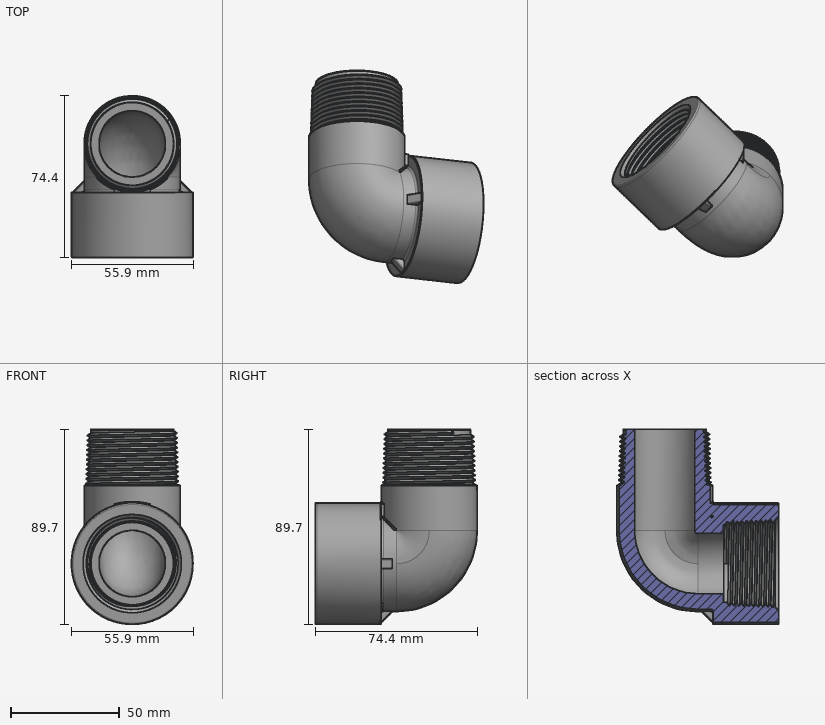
import cadquery as cq
import math


pipe_radius = 44.2 / 2
bore_radius = 30.48 / 2
bend_radius = 15.2
crotch_fill = 0.25
crotch_half_width = 0.75
collar_fillet = 1.0

male_reach = 61.72
female_reach = 52.32

thread_pitch = 25.4 / 11.5
thread_depth = 1.45
thread_base_share = 0.96
thread_overlap = 0.3
taper = 1 / 32
taper_angle = math.degrees(math.atan(taper))

male_base_z = 35.7
male_base_crest_radius = 21.3
male_root_radius = male_base_crest_radius - thread_depth
male_tip_radius = 19.0
male_tip_length = 0.4
shoulder_height = 0.5
male_thread_start_z = 35.6
male_thread_end_z = 60.1

socket_radius = 55.88 / 2
socket_back = pipe_radius
socket_edge_round = 0.7
socket_back_round = 0.4
mouth_radius = 22.6
mouth_chamfer_radius = 21.1
mouth_chamfer_length = 1.5
female_floor = 27.0
female_crest_radius = 18.9

rib_width = 4.6
rib_length = 5.1
rib_height = 5.1
rib_edge_round = 0.5
pad_radius = 28.5
pad_half_width = 8.3
pad_bottom_z = 21.8
pad_thickness = 1.6


def elbow(radius, top_z, front_reach):
    """Round rod, of the given radius, that follows both leg axes and the bend."""
    upright = cq.Workplane("XY").workplane(offset=bend_radius).circle(radius).extrude(top_z - bend_radius)
    level = cq.Workplane("XZ").workplane(offset=bend_radius).circle(radius).extrude(front_reach - bend_radius)
    outer_side = (
        cq.Sketch()
        .circle(radius)
        .push([(0, -bend_radius - radius)])
        .rect(4 * radius, 2 * radius, mode="s")
    )
    bend = cq.Workplane("XY").workplane(offset=bend_radius).placeSketch(outer_side)
    bend = bend.revolve(90, (0, -bend_radius, 0), (-1, -bend_radius, 0))
    return upright.union(level).union(bend)


def thread_ridge(base_radius, height, cone_angle):
    """V-shaped right-hand ridge that winds up +Z on a cone of the given base radius."""
    helix = cq.Wire.makeHelix(thread_pitch, height, base_radius, angle=cone_angle)
    half_base = thread_base_share * thread_pitch / 2
    buried_radius = base_radius - thread_overlap
    profile = (
        cq.Workplane("XZ")
        .moveTo(buried_radius, -half_base)
        .lineTo(base_radius, -half_base)
        .lineTo(base_radius + thread_depth, 0)
        .lineTo(base_radius, half_base)
        .lineTo(buried_radius, half_base)
        .close()
    )
    return profile.sweep(cq.Workplane(helix), isFrenet=True)


def turned(points):
    """Solid turned about Z from (radius, height) points that start and end on the axis."""
    return cq.Workplane("XZ").polyline(points).close().revolve(360, (0, 0, 0), (0, 1, 0))


def turn_to_female_axis(body):
    """Swing a body built along +Z onto the female leg axis, -Y."""
    return body.rotate((0, 0, 0), (1, 0, 0), 90)


def male_end():
    """Tapered root cone, plain tip and shoulder, with the thread wound on it."""
    tip_base_z = male_reach - male_tip_length
    core_top_radius = male_root_radius - taper * (tip_base_z - male_base_z)
    core = turned([
        (0, male_base_z),
        (pipe_radius, male_base_z),
        (male_base_crest_radius, male_base_z + shoulder_height),
        (male_root_radius, male_base_z + shoulder_height),
        (core_top_radius, tip_base_z),
        (male_tip_radius, tip_base_z),
        (male_tip_radius, male_reach),
        (0, male_reach),
    ])
    ridge_height = male_thread_end_z - male_thread_start_z
    ridge = thread_ridge(male_root_radius, ridge_height, -taper_angle)
    ridge = ridge.translate((0, 0, male_thread_start_z))
    return core.union(ridge)


def female_socket():
    """Solid socket barrel with rounded rims."""
    barrel = cq.Workplane("XY").workplane(offset=socket_back).circle(socket_radius)
    barrel = barrel.extrude(female_reach - socket_back)
    barrel = barrel.faces(">Z").edges().fillet(socket_edge_round)
    barrel = barrel.faces("<Z").edges().fillet(socket_back_round)
    return turn_to_female_axis(barrel)


def female_bore():
    """Cutter for the tapered socket bore, its mouth chamfer and its thread groove."""
    chamfer_z = female_reach - mouth_chamfer_length
    mouth_crest_radius = female_crest_radius + taper * (chamfer_z - female_floor)
    cavity = turned([
        (0, female_floor),
        (female_crest_radius, female_floor),
        (mouth_crest_radius, chamfer_z),
        (mouth_chamfer_radius, chamfer_z),
        (mouth_radius, female_reach),
        (0, female_reach),
    ])
    groove_height = chamfer_z - female_floor
    groove = thread_ridge(female_crest_radius, groove_height, taper_angle)
    groove = groove.translate((0, 0, female_floor + thread_pitch / 2))
    return turn_to_female_axis(cavity.union(groove))


def ribs():
    """Triangular ribs that brace the socket back on the two sides and underneath."""
    slope = cq.Workplane("XZ").polyline([
        (0, socket_back),
        (pipe_radius + rib_height, socket_back),
        (pipe_radius, socket_back - rib_length),
        (0, socket_back - rib_length),
    ])
    slope = slope.close().extrude(rib_width / 2, both=True)
    sloping_edges = cq.selectors.ParallelDirSelector(cq.Vector(rib_height, 0, rib_length))
    slope = slope.edges(sloping_edges).fillet(rib_edge_round)
    braces = cq.Workplane("XY")
    for angle in (0, 180, 270):
        brace = slope.rotate((0, 0, 0), (0, 0, 1), angle)
        braces = braces.union(turn_to_female_axis(brace))
    return braces


def crotch():
    """Bevel that fills the mitred crease on the inside of the bend."""
    mitre = cq.Plane(origin=(0, 0, 0), xDir=(1, 0, 0), normal=(0, 1, 1))
    fill_radius = pipe_radius + crotch_fill
    bevel = cq.Workplane(mitre).ellipse(fill_radius, fill_radius * math.sqrt(2))
    bevel = bevel.extrude(crotch_half_width, both=True)
    keep = cq.Workplane("XY").box(3 * pipe_radius, pipe_radius, pipe_radius, centered=(True, False, False))
    return bevel.intersect(keep.translate((0, -bend_radius - pipe_radius, bend_radius)))


def collar():
    """Concave fillet between the pipe and the back of the socket."""
    diagonal = collar_fillet * (1 - math.sqrt(0.5))
    outline = (
        cq.Workplane("XZ")
        .moveTo(0, socket_back)
        .lineTo(pipe_radius + collar_fillet, socket_back)
        .threePointArc(
            (pipe_radius + diagonal, socket_back - diagonal),
            (pipe_radius, socket_back - collar_fillet),
        )
        .lineTo(0, socket_back - collar_fillet)
        .close()
    )
    return turn_to_female_axis(outline.revolve(360, (0, 0, 0), (0, 1, 0)))


def socket_pad():
    """Round-topped pad that fills the gap between the male leg and the socket back."""
    front_reach = socket_back + socket_back_round
    back_reach = socket_back - pad_thickness
    disc = turn_to_female_axis(turned([
        (0, back_reach),
        (pad_radius, back_reach),
        (pad_radius, socket_back),
        (socket_radius, front_reach),
        (0, front_reach),
    ]))
    height = pad_radius - pad_bottom_z
    keep = cq.Workplane("XY").box(2 * pad_half_width, 2 * socket_back, height, centered=(True, False, False))
    return disc.intersect(keep.translate((0, -2 * socket_back, pad_bottom_z)))


outer = elbow(pipe_radius, male_base_z, socket_back)
outer = outer.union(crotch()).union(collar())
outer = outer.union(male_end()).union(female_socket()).union(ribs()).union(socket_pad())
result = outer.cut(elbow(bore_radius, male_reach, female_reach)).cut(female_bore())